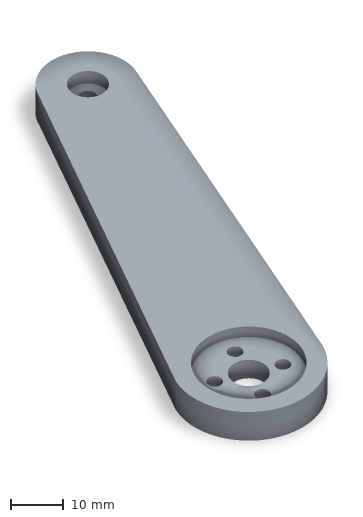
import cadquery as cq

thickness = 7.0
small_end_radius = 10.0
large_end_radius = 15.0
end_spacing = 90.0
small_end_rise = 3.0

screw_hole_diameter = 3.5
screw_head_diameter = 8.0
screw_head_depth = 3.0

recess_diameter = 22.0
recess_depth = 2.5
bore_diameter = 8.0
mount_hole_diameter = 3.2
mount_circle_radius = 7.0
mount_hole_count = 4

large_end = (0.0, 0.0)
small_end = (-end_spacing, small_end_rise)


def arm_plate():
    """Tapered plate whose half-round ends are joined by straight sides."""
    small_x, small_y = small_end
    large_x, large_y = large_end
    return (
        cq.Workplane("XY")
        .moveTo(small_x, small_y - small_end_radius)
        .lineTo(large_x, large_y - large_end_radius)
        .threePointArc((large_x + large_end_radius, large_y), (large_x, large_y + large_end_radius))
        .lineTo(small_x, small_y + small_end_radius)
        .threePointArc((small_x - small_end_radius, small_y), (small_x, small_y - small_end_radius))
        .close()
        .extrude(thickness)
    )


def cut_screw_hole(body):
    """Through hole with a counterbore from the top face at the small end."""
    return (
        body.faces(">Z")
        .workplane(origin=(*small_end, thickness))
        .cboreHole(screw_hole_diameter, screw_head_diameter, screw_head_depth)
    )


def cut_horn_mount(body):
    """Recess, central bore and ring of mounting holes at the large end."""
    top = body.faces(">Z").workplane(origin=(*large_end, thickness))
    body = top.cboreHole(bore_diameter, recess_diameter, recess_depth)
    return (
        body.faces(">Z")
        .workplane(origin=(*large_end, thickness))
        .polarArray(mount_circle_radius, 0, 360, mount_hole_count)
        .hole(mount_hole_diameter)
    )


result = cut_horn_mount(cut_screw_hole(arm_plate()))